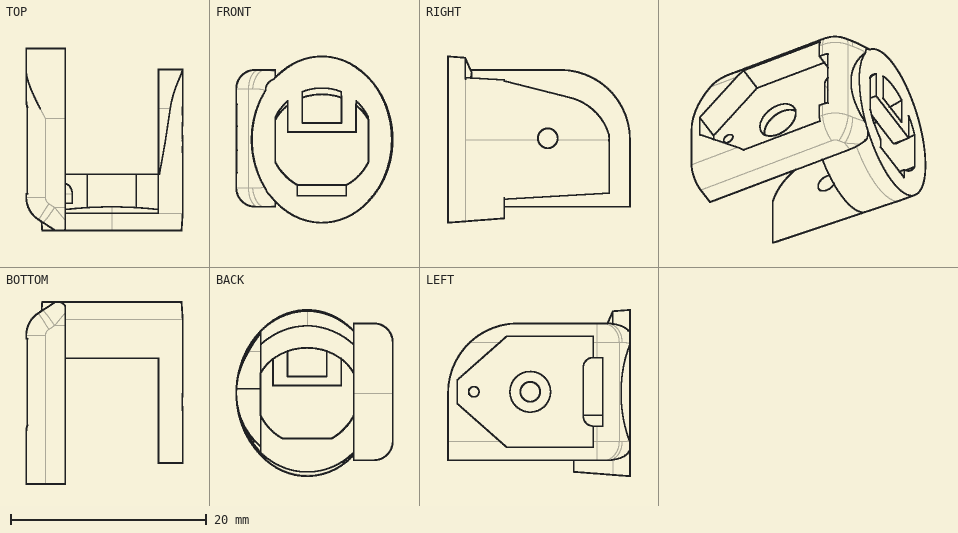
import cadquery as cq
import math


ring_z = -0.13
ring_half_width = 7.13
body_half_width = 7.25
ring_half_height = 8.505
draft = math.radians(4.4)
collar_depth = 1.76
bevel_depth = 0.67
bevel_inset = 1.5
dome_drop = 0.27
lip_depth = 5.77

gap_half = 4.75
right_length = 16.47
right_slope_start = (5.77, 5.85)
right_slope_end = (12.5, 4.15)
right_rear_z = 0.3
left_outer = -8.75
left_length = 18.61
left_half_height = 7.0
left_rear_radius = 7.15
left_bevel_width = 3.0
left_bevel_length = 1.93
left_front_radius = 2.7
left_edge_radius = 1.95
nose_length = 2.4
nose_drop = 0.75

bore_radius = 5.27
bore_rear_ratio = 0.874
floor_half_width = 2.5
floor_drop = 1.1
frame_half_width = 3.5
frame_bottom = 0.62
window_half_width = 2.0
window_bottom = 1.58

pivot_y = 10.2
pivot_diameter = 2.0
left_pivot_diameter = 4.15
pin_y = 15.95
pin_diameter = 1.05
pocket_floor_x = -5.75
pocket_half_height = 5.67
pocket_front = 3.75
pocket_shoulder = 12.6
pocket_tip = 17.65
pocket_tip_half = 1.21
slot_front = 2.8
slot_rear = 4.78
slot_half_height = 3.5
slot_corner = 1.0
slot_inner_x = -3.5

big = 30.0
upper_cut_z = -2.0


def block(x0, x1, y0, y1, z0, z1):
    return cq.Workplane("XY").box(x1 - x0, y1 - y0, z1 - z0, centered=False).translate((x0, y0, z0))


def side_plane(x):
    """Sketch plane at X = x whose local axes are Y and Z."""
    return cq.Workplane("YZ", origin=(x, 0, 0))


def ellipse_loft(y0, a0, b0, y1, a1, b1):
    """Elliptical frustum along Y about the ring axis; a is half width, b half height."""
    front = cq.Workplane("XZ", origin=(0, y0, ring_z)).ellipse(a0, b0)
    return front.workplane(offset=y0 - y1).ellipse(a1, b1).loft(ruled=True)


def body_size(y):
    """Half width and half height of the elliptical body at depth y."""
    flare = min(y / collar_depth, 1.0) * (body_half_width - ring_half_width)
    return ring_half_width + flare, ring_half_height - y * math.tan(draft)


def ring_and_right_arm():
    rim_a, rim_b = body_size(collar_depth)
    bevel_end = collar_depth + bevel_depth
    collar = ellipse_loft(0, *body_size(0), collar_depth, rim_a, rim_b)
    body = collar.union(ellipse_loft(collar_depth, rim_a, rim_b, right_length, *body_size(right_length)))
    bevel = ellipse_loft(collar_depth, rim_a, rim_b, bevel_end, rim_a - bevel_inset, rim_b - bevel_inset)
    lower = body.intersect(block(-gap_half, gap_half, 0, lip_depth, -big, upper_cut_z))
    upper = collar.union(bevel).intersect(collar_dome())
    left_rim = collar.intersect(block(-big, -gap_half, 0, big, -big, big))
    right = body.intersect(block(gap_half, big, 0, big, -big, big)).intersect(right_arm_profile())
    return right.union(lower).union(upper).union(left_rim)


def collar_dome():
    """Space above the gap's cut height, closed at the rear by a shallow arc across X."""
    crest = collar_depth + bevel_depth
    return (
        cq.Workplane("XY", origin=(0, 0, upper_cut_z))
        .moveTo(-gap_half, 0)
        .lineTo(-gap_half, crest - dome_drop)
        .threePointArc((0, crest), (gap_half, crest - dome_drop))
        .lineTo(gap_half, 0)
        .close()
        .extrude(big)
    )


def right_arm_profile():
    return (
        side_plane(0)
        .moveTo(0, -big)
        .lineTo(0, right_slope_start[1] + big)
        .lineTo(right_slope_start[0], right_slope_start[1] + big)
        .lineTo(*right_slope_start)
        .lineTo(*right_slope_end)
        .tangentArcPoint((right_length, right_rear_z), relative=False)
        .lineTo(right_length, -big)
        .close()
        .extrude(big)
    )


def left_arm():
    h = left_half_height
    nose_radius = (nose_length**2 + nose_drop**2) / (2 * nose_drop)
    arm = (
        side_plane(left_outer)
        .moveTo(0, h - nose_drop)
        .radiusArc((nose_length, h), nose_radius)
        .lineTo(left_length, h)
        .lineTo(left_length, -h)
        .lineTo(nose_length, -h)
        .radiusArc((0, nose_drop - h), nose_radius)
        .close()
        .extrude(-gap_half - left_outer)
    )
    slant = (
        cq.Workplane("XY", origin=(left_outer, 0, -big))
        .polyline([(0, 0), (left_bevel_width, 0), (0, left_bevel_length)])
        .close()
        .extrude(2 * big)
    )
    arm = arm.cut(slant)
    corner_edge = cq.selectors.NearestToPointSelector((left_outer, left_bevel_length, 0))
    arm = arm.edges(corner_edge).fillet(left_front_radius)
    arm = arm.edges("<X and |Y").fillet(left_edge_radius)
    rear_arc_y = left_length - left_rear_radius
    rear_arc_z = h - left_rear_radius
    corner = block(-big, 0, rear_arc_y, big, rear_arc_z, big)
    round_end = side_plane(-big).center(rear_arc_y, rear_arc_z).circle(left_rear_radius).extrude(big)
    return arm.cut(corner.cut(round_end))


def bore():
    """Round bore with flat sides; flat at the bottom and flattened toward the rear at the top."""
    rear = collar_depth + bevel_depth
    upper_zone = block(-gap_half, gap_half, 0, big, upper_cut_z, big)
    upper = ellipse_loft(0, bore_radius, bore_radius, rear, bore_radius, bore_radius * bore_rear_ratio)
    floor_z = ring_z - math.sqrt(bore_radius**2 - floor_half_width**2)
    lower = ellipse_loft(0, bore_radius, bore_radius, big, bore_radius, bore_radius)
    lower = lower.intersect(block(-gap_half, gap_half, 0, lip_depth, floor_z, ring_z))
    wedge = (
        side_plane(-floor_half_width)
        .polyline([(0, floor_z), (lip_depth, floor_z), (0, floor_z - floor_drop)])
        .close()
        .extrude(2 * floor_half_width)
    )
    return upper.intersect(upper_zone).union(lower).union(wedge)


def key_frame():
    """U-shaped frame hanging from the top of the ring, open upward to the bore."""
    top = ring_z + bore_radius
    outer = block(-frame_half_width, frame_half_width, 0, collar_depth, frame_bottom, top)
    window = block(-window_half_width, window_half_width, 0, collar_depth, window_bottom, top)
    return outer.cut(window)


def left_pocket():
    upper = [
        (pocket_front, pocket_half_height),
        (pocket_shoulder, pocket_half_height),
        (pocket_tip, pocket_tip_half),
    ]
    lower = [(y, -z) for y, z in reversed(upper)]
    return side_plane(-big).polyline(upper + lower).close().extrude(big + pocket_floor_x)


def slot():
    cutter = block(-big, slot_inner_x, slot_front, slot_rear, -slot_half_height, slot_half_height)
    return cutter.edges("|X and >Y").fillet(slot_corner)


def hole(y, diameter, x0, x1):
    return side_plane(x0).center(y, 0).circle(diameter / 2).extrude(x1 - x0)


result = ring_and_right_arm().union(left_arm())
result = result.cut(bore()).union(key_frame())
result = result.cut(left_pocket()).cut(slot())
result = result.cut(hole(pivot_y, left_pivot_diameter, -big, 0))
result = result.cut(hole(pin_y, pin_diameter, -big, 0))
result = result.cut(hole(pivot_y, pivot_diameter, 0, big))